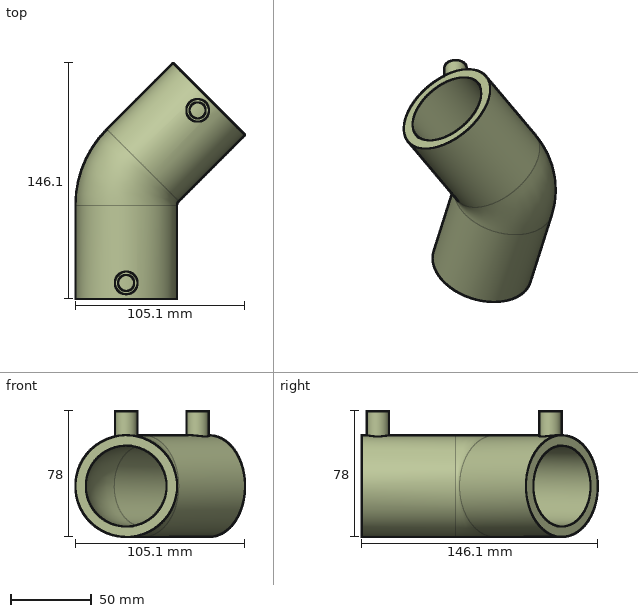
import cadquery as cq
import math

outer_diameter = 63.0
bore_diameter = 50.0
bend_angle = 45
bend_radius = 35.1
leg_length = 58.0

port_outer_diameter = 14.0
port_bore_diameter = 10.0
port_end_distance = 10.1
overall_height = 78.0
port_top = overall_height - outer_diameter / 2

angle = math.radians(bend_angle)
bend_end = (
    bend_radius * (1 - math.cos(angle)),
    leg_length + bend_radius * math.sin(angle),
)
far_end = (
    bend_end[0] + leg_length * math.sin(angle),
    bend_end[1] + leg_length * math.cos(angle),
)
port_centers = [
    (0, port_end_distance),
    (
        far_end[0] - port_end_distance * math.sin(angle),
        far_end[1] - port_end_distance * math.cos(angle),
    ),
]


def elbow_rod(diameter):
    """Solid round rod: straight leg, bend, straight leg."""
    radius = diameter / 2
    first_leg = cq.Workplane("XZ").circle(radius).extrude(-leg_length)
    bend = (
        cq.Workplane("XZ", origin=(0, leg_length, 0))
        .circle(radius)
        .revolve(bend_angle, (bend_radius, outer_diameter, 0), (bend_radius, 0, 0))
    )
    second_leg_plane = cq.Plane(
        origin=(*bend_end, 0),
        xDir=(0, 0, 1),
        normal=(math.sin(angle), math.cos(angle), 0),
    )
    second_leg = cq.Workplane(second_leg_plane).circle(radius).extrude(leg_length)
    return first_leg.union(bend).union(second_leg)


def vertical_rods(diameter):
    """Rods rising from the pipe axis at both port positions."""
    return cq.Workplane("XY").pushPoints(port_centers).circle(diameter / 2).extrude(port_top)


outer_elbow = elbow_rod(outer_diameter)
port_bores = vertical_rods(port_bore_diameter).cut(outer_elbow)

result = (
    outer_elbow
    .union(vertical_rods(port_outer_diameter))
    .cut(elbow_rod(bore_diameter))
    .cut(port_bores)
)